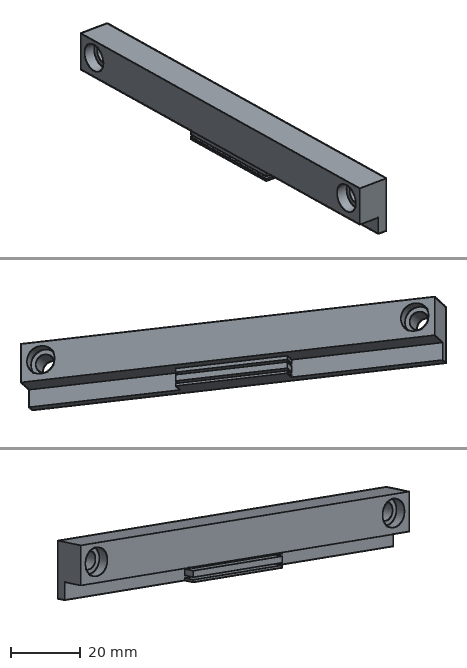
import cadquery as cq

length = 126.0
depth = 10.0
height = 17.0
lip_thickness = 3.0
lip_height = 5.3

rib_length = 34.0
rib_reach = 3.8
bottom_rib_height = 0.8
middle_rib_height = 1.9
rib_gap = 0.8

hole_diameter = 5.5
counterbore_diameter = 8.5
counterbore_depth = 3.5
hole_end_distance = 6.0
hole_top_distance = 5.5

lip_front = depth - lip_thickness
middle_rib_bottom = bottom_rib_height + rib_gap
top_rib_bottom = middle_rib_bottom + middle_rib_height + rib_gap
top_rib_height = lip_height - top_rib_bottom


def make_bar():
    """L-shaped bar: front at Y = 0, bottom of the lip at Z = 0, centred on X = 0."""
    bar = cq.Workplane("XY").box(length, depth, height, centered=(True, False, False))
    recess = cq.Workplane("XY").box(length, lip_front, lip_height, centered=(True, False, False))
    return bar.cut(recess)


def make_rib(bottom, rib_height):
    """Rectangular rib standing forward from the lip."""
    return (
        cq.Workplane("XY")
        .box(rib_length, rib_reach, rib_height, centered=(True, False, False))
        .translate((0, lip_front - rib_reach, bottom))
    )


def cut_screw_holes(body):
    """Through holes along Y, counterbored from the front face."""
    hole_x = length / 2 - hole_end_distance
    hole_z = height - hole_top_distance
    return (
        body.copyWorkplane(cq.Workplane("XZ"))
        .pushPoints([(-hole_x, hole_z), (hole_x, hole_z)])
        .cboreHole(hole_diameter, counterbore_diameter, counterbore_depth)
    )


result = cut_screw_holes(make_bar())
for bottom, rib_height in (
    (0, bottom_rib_height),
    (middle_rib_bottom, middle_rib_height),
    (top_rib_bottom, top_rib_height),
):
    result = result.union(make_rib(bottom, rib_height))